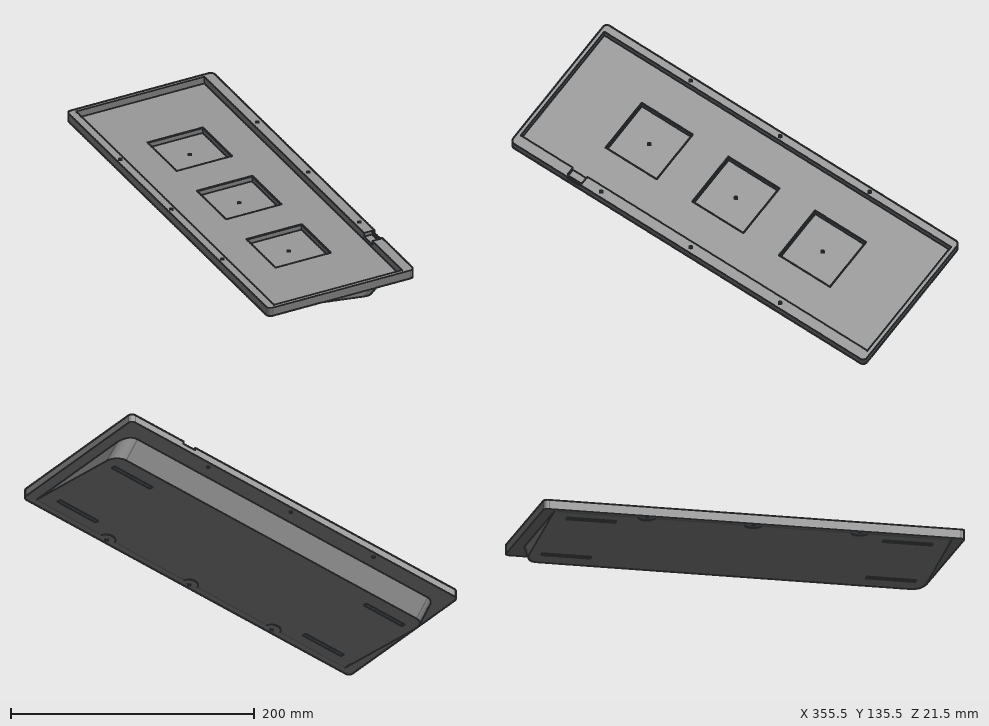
import cadquery as cq
LENGTH = 355.5
WIDTH = 135.5
HEIGHT = 21.5
PLATE_THICKNESS = 8.0
PLATE_CORNER_RADIUS = 4.0

END_RIM = 3.5
BACK_RIM = 9.5
FRONT_RIM = 7.0
TRAY_DEPTH = 6.5

WEDGE_LENGTH = 336.0
WEDGE_FRONT_Y = -62.0
WEDGE_LOWEST_Y = 38.0
WEDGE_BACK_Y = 52.3
WEDGE_CORNER_RADIUS = 10.0

POCKET_SIZE = 50.5
POCKET_PITCH = 87.0
POCKET_DEPTH = 5.0
POCKET_CHAMFER = 0.5
POCKET_HOLE_DEPTH = 2.5

HOLE_DIAMETER = 2.53
SCREW_PITCH = 90.0
SEAT_DIAMETER = 15.0

CHANNEL_X = 114.5
CHANNEL_WIDTH = 14.5
CHANNEL_DEPTH = 3.5
LIP_THICKNESS = 2.0
LIP_NOTCH_WIDTH = 12.5
LIP_NOTCH_DEPTH = 1.5
LIP_CHAMFER = 1.0

FOOT_LENGTH = 41.5
FOOT_WIDTH = 3.5
FOOT_DEPTH = 0.5
FRONT_FOOT_X = 133.7
FRONT_FOOT_Y = -49.8
BACK_FOOT_X = 137.3
BACK_FOOT_Y = 22.0

BACK_Y = WIDTH / 2
FRONT_Y = -WIDTH / 2
TRAY_BACK_Y = BACK_Y - BACK_RIM
TRAY_FRONT_Y = FRONT_Y + FRONT_RIM
TRAY_CENTRE_Y = (TRAY_BACK_Y + TRAY_FRONT_Y) / 2
UNDERSIDE_SLOPE = (HEIGHT - PLATE_THICKNESS) / (WEDGE_LOWEST_Y - WEDGE_FRONT_Y)
ROW_STEPS = (-1, 0, 1)


def block_down(x, y, top_z, size_x, size_y, depth):
    """Block centred on (x, y) that reaches down from top_z."""
    return (
        cq.Workplane("XY", origin=(x, y, top_z))
        .box(size_x, size_y, depth, centered=(True, True, False))
        .translate((0, 0, -depth))
    )


def cylinder_down(x, y, top_z, diameter, depth):
    """Upright cylinder centred on (x, y) that reaches down from top_z."""
    return cq.Workplane("XY", origin=(x, y, top_z)).circle(diameter / 2).extrude(-depth)


def make_plate():
    plate = block_down(0, 0, 0, LENGTH, WIDTH, PLATE_THICKNESS)
    return plate.edges("|Z").fillet(PLATE_CORNER_RADIUS)


def make_wedge():
    """Triangular body with its two slanted back corners rounded."""
    wedge = (
        cq.Workplane("YZ")
        .moveTo(WEDGE_FRONT_Y, -PLATE_THICKNESS)
        .lineTo(WEDGE_LOWEST_Y, -HEIGHT)
        .lineTo(WEDGE_BACK_Y, -PLATE_THICKNESS)
        .close()
        .extrude(WEDGE_LENGTH / 2, both=True)
    )
    slanted_edge = cq.selectors.ParallelDirSelector(
        cq.Vector(0, WEDGE_BACK_Y - WEDGE_LOWEST_Y, HEIGHT - PLATE_THICKNESS)
    )
    return wedge.edges(slanted_edge).fillet(WEDGE_CORNER_RADIUS)


def cut_tray(body):
    tray_width = TRAY_BACK_Y - TRAY_FRONT_Y
    return body.cut(block_down(0, TRAY_CENTRE_Y, 0, LENGTH - 2 * END_RIM, tray_width, TRAY_DEPTH))


def make_pocket_shape(x, y):
    """Square pocket that widens through a small chamfer at its mouth."""
    mouth_size = POCKET_SIZE + 2 * POCKET_CHAMFER
    mouth = (
        cq.Workplane("XY", origin=(x, y, -TRAY_DEPTH))
        .rect(mouth_size, mouth_size)
        .workplane(offset=-POCKET_CHAMFER)
        .rect(POCKET_SIZE, POCKET_SIZE)
        .loft()
    )
    return mouth.union(block_down(x, y, -TRAY_DEPTH, POCKET_SIZE, POCKET_SIZE, POCKET_DEPTH))


def cut_pockets(body):
    floor_z = -TRAY_DEPTH - POCKET_DEPTH
    for step in ROW_STEPS:
        x = step * POCKET_PITCH
        body = body.cut(make_pocket_shape(x, TRAY_CENTRE_Y))
        body = body.cut(cylinder_down(x, TRAY_CENTRE_Y, floor_z, HOLE_DIAMETER, POCKET_HOLE_DEPTH))
    return body


def cut_screw_holes(body):
    """Through holes, with seats level with the plate underside where the wedge is in the way."""
    for step in ROW_STEPS:
        x = step * SCREW_PITCH
        for y in (BACK_Y - BACK_RIM / 2, FRONT_Y + FRONT_RIM / 2):
            body = body.cut(cylinder_down(x, y, 0, HOLE_DIAMETER, HEIGHT))
            body = body.cut(cylinder_down(x, y, -PLATE_THICKNESS, SEAT_DIAMETER, HEIGHT))
    return body


def cut_cable_channel(body):
    """Box channel open to the tray, behind a notched lip whose outer edge is chamfered."""
    channel_length = BACK_RIM - LIP_THICKNESS
    channel_y = TRAY_BACK_Y + channel_length / 2
    channel = block_down(CHANNEL_X, channel_y, 0, CHANNEL_WIDTH, channel_length, CHANNEL_DEPTH)
    notch = (
        cq.Workplane("YZ", origin=(CHANNEL_X, BACK_Y, 0))
        .polyline([
            (-LIP_THICKNESS, 0),
            (-LIP_THICKNESS, -LIP_NOTCH_DEPTH),
            (-LIP_CHAMFER, -LIP_NOTCH_DEPTH),
            (0, -LIP_NOTCH_DEPTH - LIP_CHAMFER),
            (0, 0),
        ])
        .close()
        .extrude(LIP_NOTCH_WIDTH / 2, both=True)
    )
    return body.cut(channel).cut(notch)


def cut_foot_slots(body):
    """Slots cut square to the sloping underside."""
    for x, y in ((FRONT_FOOT_X, FRONT_FOOT_Y), (BACK_FOOT_X, BACK_FOOT_Y)):
        z = -PLATE_THICKNESS - UNDERSIDE_SLOPE * (y - WEDGE_FRONT_Y)
        for side in (-1, 1):
            underside = cq.Plane(origin=(side * x, y, z), xDir=(1, 0, 0), normal=(0, UNDERSIDE_SLOPE, 1))
            body = body.cut(cq.Workplane(underside).rect(FOOT_LENGTH, FOOT_WIDTH).extrude(FOOT_DEPTH))
    return body


result = make_plate().union(make_wedge())
result = cut_tray(result)
result = cut_pockets(result)
result = cut_screw_holes(result)
result = cut_cable_channel(result)
result = cut_foot_slots(result)